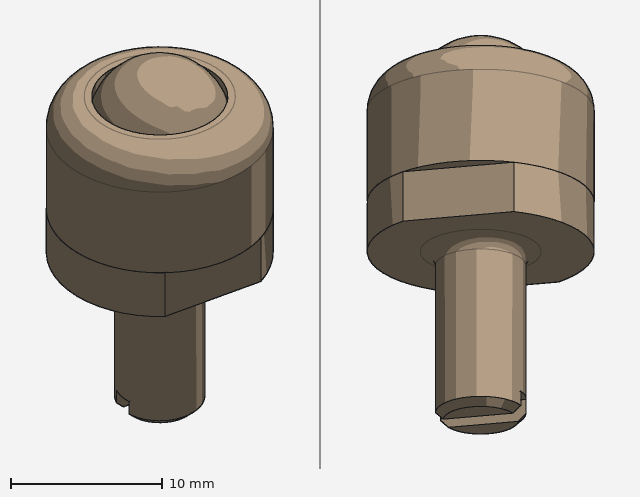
import cadquery as cq

total_height = 27.0
stud_length = 12.0
base_height = 3.5
cap_height = 9.0
base_top = stud_length + base_height
cap_top = base_top + cap_height

head_diameter = 15.0
cap_edge_radius = 2.5
base_across_flats = 13.0

ball_diameter = 9.5
opening_diameter = 9.0
ball_center_height = total_height - ball_diameter / 2

stud_diameter = 6.0
neck_radius = 1.0
tip_chamfer = 0.5
slot_width = 1.5
slot_depth = 1.5


def make_ball():
    """Sphere whose crown stands above the cap."""
    return cq.Workplane("XY").sphere(ball_diameter / 2).translate((0, 0, ball_center_height))


def make_cap():
    """Rounded cap with a spherical seat and an opening narrower than the ball."""
    cap = cq.Workplane("XY").workplane(offset=base_top).circle(head_diameter / 2).extrude(cap_height)
    cap = cap.faces(">Z").edges().fillet(cap_edge_radius)
    opening = (
        cq.Workplane("XY")
        .workplane(offset=ball_center_height)
        .circle(opening_diameter / 2)
        .extrude(cap_top - ball_center_height)
    )
    return cap.cut(opening).cut(make_ball())


def make_base_disc():
    """Disc with two wrench flats facing -X and +X."""
    disc = cq.Workplane("XY").circle(head_diameter / 2).extrude(base_height)
    between_flats = cq.Workplane("XY").rect(base_across_flats, head_diameter).extrude(base_height)
    return disc.intersect(between_flats).translate((0, 0, stud_length))


def make_stud():
    """Revolved stud with a chamfered tip and a concave neck under the base."""
    radius = stud_diameter / 2
    neck_start = stud_length - neck_radius
    profile = (
        cq.Workplane("XZ")
        .lineTo(radius - tip_chamfer, 0)
        .lineTo(radius, tip_chamfer)
        .lineTo(radius, neck_start)
        .radiusArc((radius + neck_radius, stud_length), neck_radius)
        .lineTo(0, stud_length)
        .close()
    )
    return profile.revolve(360, (0, 0, 0), (0, 1, 0))


def make_base():
    """Base disc and stud in one piece, with a screwdriver slot along Y in the tip."""
    slot = cq.Workplane("XY").rect(slot_width, stud_diameter).extrude(slot_depth)
    return make_base_disc().union(make_stud()).cut(slot)


ball = make_ball()
cap = make_cap()
base = make_base()

result = cq.Compound.makeCompound([base.val(), cap.val(), ball.val()])